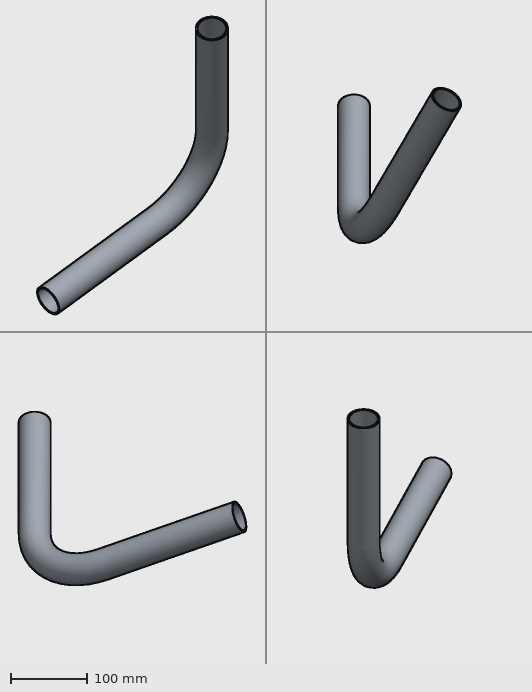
import cadquery as cq

overall_size = 321.2
outer_diameter = 42.5
wall_thickness = 2.5
leg_length = 200.0
bend_angle = 90

outer_radius = outer_diameter / 2
inner_radius = outer_radius - wall_thickness
bend_radius = overall_size - leg_length - outer_radius


def tube_section(plane, center):
    """Ring-shaped cross-section of the tube, centred on its centreline."""
    return cq.Workplane(plane, origin=center).circle(outer_radius).circle(inner_radius)


lower_end = (0, 0, 0)
bend_start = (0, leg_length, 0)
bend_end = (0, leg_length + bend_radius, bend_radius)

lower_leg = tube_section("XZ", lower_end).extrude(-leg_length)

bend_axis_start = (0, bend_radius)
bend_axis_end = (1, bend_radius)
bend = tube_section("XZ", bend_start).revolve(bend_angle, bend_axis_start, bend_axis_end)

upper_leg = tube_section("XY", bend_end).extrude(leg_length)

result = lower_leg.union(bend).union(upper_leg)